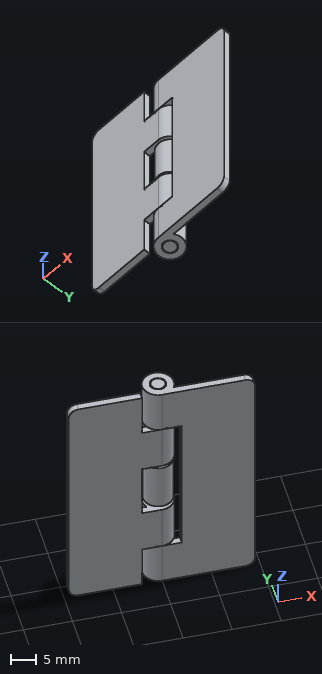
import cadquery as cq

height = 51.0
width = 38.0
depth = 6.5
leaf_thickness = 1.6
corner_radius = 2.0

knuckle_radius = depth / 2
hole_radius = 1.65
pin_radius = 1.5
sleeve_radius = 3.05
sleeve_length = 10.4

notch_reach = 4.05

knuckle_split = 15.95
middle_opening = 6.0

leaf_outer_face = -knuckle_radius
RIGHT = 1
LEFT = -1


def cylinder(radius, z_low, z_high):
    return cq.Workplane("XY").workplane(offset=z_low).circle(radius).extrude(z_high - z_low)


def leaf_box(side, x_near, x_far, z_low, z_high):
    """Flat piece of leaf on one side, spanning two distances from the axis."""
    x_low = min(side * x_near, side * x_far)
    return cq.Workplane("XY").box(
        x_far - x_near, leaf_thickness, z_high - z_low, centered=False
    ).translate((x_low, leaf_outer_face, z_low))


def make_leaf(side, knuckle_spans):
    """Leaf with rounded outer corners and a bored knuckle over each height span."""
    leaf = leaf_box(side, notch_reach, width / 2, -height / 2, height / 2)
    outer_edges = ">X" if side == RIGHT else "<X"
    leaf = leaf.faces(outer_edges).edges("|Y").fillet(corner_radius)
    for z_low, z_high in knuckle_spans:
        leaf = leaf.union(leaf_box(side, 0, notch_reach, z_low, z_high))
        leaf = leaf.union(cylinder(knuckle_radius, z_low, z_high))
    return leaf.cut(cylinder(hole_radius, -height / 2, height / 2))


def make_pin():
    return cylinder(pin_radius, -height / 2, height / 2)


def make_sleeve():
    """Spacer tube loose on the pin, between the two middle knuckles."""
    tube = cylinder(sleeve_radius, -sleeve_length / 2, sleeve_length / 2)
    return tube.cut(cylinder(hole_radius, -sleeve_length / 2, sleeve_length / 2))


right_leaf = make_leaf(RIGHT, [(-height / 2, -knuckle_split), (knuckle_split, height / 2)])
left_leaf = make_leaf(LEFT, [(-knuckle_split, -middle_opening), (middle_opening, knuckle_split)])
pin = make_pin()
sleeve = make_sleeve()

result = cq.Compound.makeCompound([right_leaf.val(), left_leaf.val(), pin.val(), sleeve.val()])